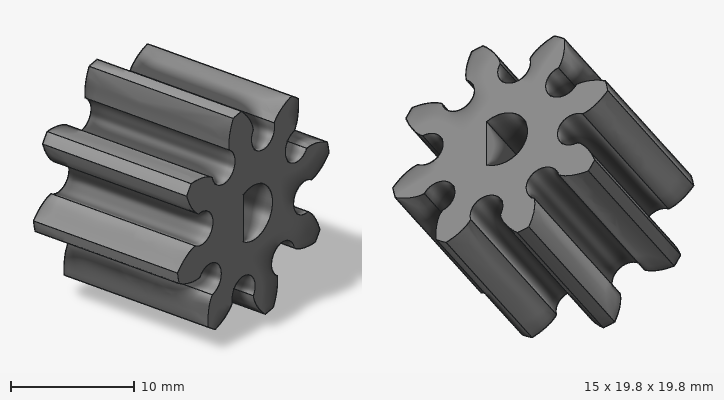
import cadquery as cq
import math


face_width = 15.0
tooth_count = 8
overall_height = 19.75
pressure_angle = math.radians(20)
gap_diameter = 3.0
gap_centre_radius = 6.87
first_gap_angle = 34.4
bore_diameter = 5.0
flank_points = 9

tip_to_base_ratio = (tooth_count + 2) / (tooth_count * math.cos(pressure_angle))
tip_roll = math.sqrt(tip_to_base_ratio ** 2 - 1)
tip_corner_angle = tip_roll - math.atan(tip_roll)
tip_radius = overall_height / 2 / math.cos(tip_corner_angle)
base_radius = tip_radius / tip_to_base_ratio
tooth_pitch = 360 / tooth_count
bore_flat_offset = bore_diameter / 4


def polar(radius, angle):
    return (radius * math.cos(angle), radius * math.sin(angle))


def involute_point(roll):
    """Point on the involute that leaves the base circle on the Y axis."""
    radius = base_radius * math.hypot(1, roll)
    return polar(radius, roll - math.atan(roll))


involute_of_pressure_angle = math.tan(pressure_angle) - pressure_angle
tooth_base_angle = math.pi / tooth_count + 2 * involute_of_pressure_angle


def mirrored(point):
    """Reflect a point across the centreline of the first tooth."""
    return polar(math.hypot(*point), tooth_base_angle - math.atan2(point[1], point[0]))


def make_tooth():
    """First tooth, its lower flank starting on the Y axis and its root at the gear centre."""
    rolls = [tip_roll * i / (flank_points - 1) for i in range(flank_points)]
    lower_flank = [involute_point(roll) for roll in rolls]
    upper_flank = [mirrored(point) for point in reversed(lower_flank)]
    return (
        cq.Workplane("YZ")
        .moveTo(0, 0)
        .lineTo(*lower_flank[0])
        .spline(lower_flank[1:], includeCurrent=True)
        .threePointArc(polar(tip_radius, tooth_base_angle / 2), upper_flank[0])
        .spline(upper_flank[1:], includeCurrent=True)
        .close()
        .extrude(face_width)
    )


def make_gap_cuts():
    return (
        cq.Workplane("YZ")
        .polarArray(gap_centre_radius, first_gap_angle, 360, tooth_count)
        .circle(gap_diameter / 2)
        .extrude(face_width)
    )


def make_bore():
    """Round bore with a flat on its -Y side."""
    bore = cq.Workplane("YZ").circle(bore_diameter / 2).extrude(face_width)
    flat_keep = (
        cq.Workplane("YZ")
        .center(bore_diameter / 2 - bore_flat_offset, 0)
        .rect(bore_diameter, bore_diameter)
        .extrude(face_width)
    )
    return bore.intersect(flat_keep)


gear = cq.Workplane("YZ").circle(base_radius).extrude(face_width)
tooth = make_tooth()
for index in range(tooth_count):
    gear = gear.union(tooth.rotate((0, 0, 0), (1, 0, 0), index * tooth_pitch))

result = gear.cut(make_gap_cuts()).cut(make_bore())